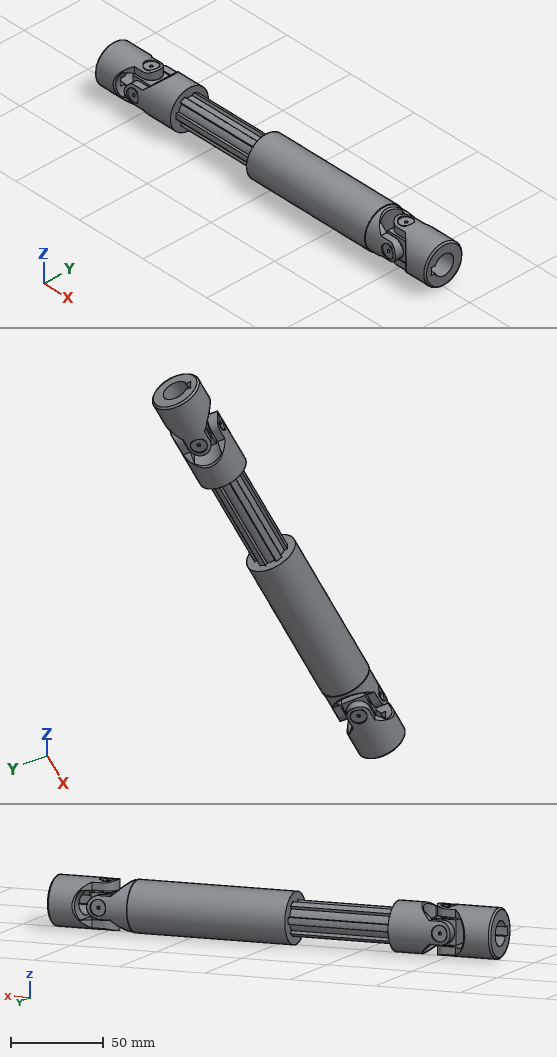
import cadquery as cq

total_length = 260.0
joint_offset = 30.0
left_joint_x = joint_offset
right_joint_x = total_length - joint_offset
shaft_yoke_end_x = 2 * joint_offset
sleeve_start_x = 120.0
sleeve_end_x = 213.0

yoke_dia = 28.0
arm_width = 13.0
arm_gap = 16.0
taper_start = 6.5
taper_reach = 15.0
slot_floor_dia = 28.0
end_chamfer = 1.0

bore_dia = 14.0
keyway_width = 5.2
keyway_reach = 9.4

cube_size = 14.0
pin_dia = 9.0
pin_span = 26.0
center_hole_dia = 1.8
center_hole_depth = 1.3

sleeve_dia = 29.0
spline_count = 6
spline_outer_dia = 20.0
spline_root_dia = 16.5
spline_width = 4.0
shaft_engagement = 52.0


def rod(diameter, start_x, end_x):
    """Round bar along X between two positions."""
    return cq.Workplane("YZ", origin=(start_x, 0, 0)).circle(diameter / 2).extrude(end_x - start_x)


def splined_rod(start_x, end_x):
    """Splined bar along X with one tooth centred on +Y."""
    length = end_x - start_x
    bar = rod(spline_root_dia, start_x, end_x)
    envelope = rod(spline_outer_dia, start_x, end_x)
    for index in range(spline_count):
        tooth = (
            cq.Workplane("XY")
            .box(length, spline_outer_dia / 2, spline_width, centered=(False, False, True))
            .rotate((0, 0, 0), (1, 0, 0), index * 360 / spline_count)
            .translate((start_x, 0, 0))
        )
        bar = bar.union(tooth.intersect(envelope))
    return bar


def yoke_head(hub_length):
    """Yoke with its joint centre at the origin, arms at +Z and -Z, hub towards -X."""
    body = rod(yoke_dia, -hub_length, arm_width / 2)

    half_width = arm_width / 2
    radius = yoke_dia / 2
    plan = (
        cq.Workplane("XY", origin=(0, 0, -radius))
        .moveTo(-hub_length, -radius)
        .lineTo(-taper_reach, -radius)
        .lineTo(-taper_start, -half_width)
        .lineTo(0, -half_width)
        .threePointArc((half_width, 0), (0, half_width))
        .lineTo(-taper_start, half_width)
        .lineTo(-taper_reach, radius)
        .lineTo(-hub_length, radius)
        .close()
        .extrude(yoke_dia)
    )
    body = body.intersect(plan)

    slot = cq.Workplane("XZ").circle(slot_floor_dia / 2).extrude(radius, both=True)
    slot = slot.intersect(cq.Workplane("XY").box(2 * slot_floor_dia, 2 * slot_floor_dia, arm_gap))
    pin_holes = cq.Workplane("XY").circle(pin_dia / 2).extrude(radius, both=True)
    return body.cut(slot).cut(pin_holes)


def end_yoke():
    """Chamfered end yoke with a keyed bore, keyway on the -Y side."""
    yoke = yoke_head(joint_offset).faces("<X").chamfer(end_chamfer)
    bore = rod(bore_dia, -joint_offset, 0)
    keyway = (
        cq.Workplane("XY", origin=(-joint_offset, 0, 0))
        .box(joint_offset, keyway_reach, keyway_width, centered=(False, False, True))
        .mirror("XZ")
    )
    return yoke.cut(bore).cut(keyway)


def cross():
    """Cube with four pins along Y and Z, each with a centre hole in its tip."""
    body = cq.Workplane("XY").box(cube_size, cube_size, cube_size)
    for plane in ("XY", "XZ"):
        body = body.union(cq.Workplane(plane).circle(pin_dia / 2).extrude(pin_span / 2, both=True))
    for face in (">Z", "<Z", ">Y", "<Y"):
        body = body.faces(face).workplane(centerOption="CenterOfMass").hole(center_hole_dia, center_hole_depth)
    return body


def to_joint(body, joint_x, quarter_turned, reversed_x):
    """Place a body at a joint, optionally facing -X and turned 90 degrees about X."""
    if reversed_x:
        body = body.mirror("YZ")
    if quarter_turned:
        body = body.rotate((0, 0, 0), (1, 0, 0), 90)
    return body.translate((joint_x, 0, 0))


def shaft_yoke():
    """Inner yoke of the left joint, in one piece with the splined shaft."""
    head = to_joint(yoke_head(shaft_yoke_end_x - left_joint_x), left_joint_x, True, True)
    return head.union(splined_rod(shaft_yoke_end_x, sleeve_start_x + shaft_engagement))


def sleeve_yoke():
    """Inner yoke of the right joint, in one piece with the splined sleeve."""
    head = to_joint(yoke_head(right_joint_x - sleeve_end_x), right_joint_x, True, False)
    sleeve = rod(sleeve_dia, sleeve_start_x, sleeve_end_x)
    return head.union(sleeve).cut(splined_rod(sleeve_start_x, sleeve_start_x + shaft_engagement))


left_end_yoke = to_joint(end_yoke(), left_joint_x, False, False)
right_end_yoke = to_joint(end_yoke(), right_joint_x, False, True)
crosses = [to_joint(cross(), joint_x, False, False) for joint_x in (left_joint_x, right_joint_x)]

result = cq.Compound.makeCompound([
    left_end_yoke.val(),
    right_end_yoke.val(),
    *[body.val() for body in crosses],
    shaft_yoke().val(),
    sleeve_yoke().val(),
])